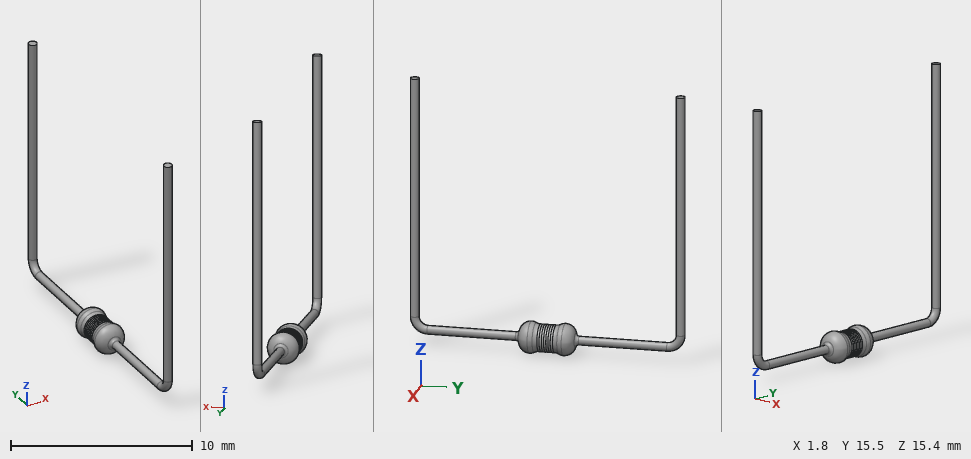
import cadquery as cq
import math


lead_span = 15.5
overall_height = 15.4
lead_diameter = 0.5
bend_radius = 0.75

body_diameter = 1.8
neck_diameter = 1.53
crest_offset = 0.96
dome_radius = 0.64
shoulder_radius = 0.55
neck_fillet_radius = 0.5
lead_fillet_radius = 0.2

band_diameter = 1.55
band_width = 0.125
band_count = 4

lead_radius = lead_diameter / 2
body_radius = body_diameter / 2
neck_radius = neck_diameter / 2
lead_offset = lead_span / 2 - lead_radius
lead_top = overall_height - body_radius


def point_on_circle(center, radius, angle):
    return (center[0] + radius * math.cos(angle), center[1] + radius * math.sin(angle))


def blend_points(bulge_radius, fillet_radius, cylinder_radius, side):
    """Points (radius, y) of the bulge arc and of the fillet that runs out on a cylinder.

    Side is +1 toward the lead and -1 toward the neck. Returns bulge middle,
    tangent point, fillet middle and fillet end.
    """
    bulge_center = (body_radius - bulge_radius, crest_offset)
    fillet_center_radius = cylinder_radius + fillet_radius
    rise = fillet_center_radius - bulge_center[0]
    angle = side * math.acos(rise / (bulge_radius + fillet_radius))
    fillet_center = point_on_circle(bulge_center, bulge_radius + fillet_radius, angle)
    bulge_middle = point_on_circle(bulge_center, bulge_radius, angle / 2)
    tangent_point = point_on_circle(bulge_center, bulge_radius, angle)
    fillet_middle = point_on_circle(fillet_center, fillet_radius, math.pi + angle / 2)
    fillet_end = (cylinder_radius, fillet_center[1])
    return bulge_middle, tangent_point, fillet_middle, fillet_end


def make_bulge():
    """The +Y end of the body, from the end of the neck to the lead, and its end on the neck."""
    shoulder_middle, shoulder_end, neck_middle, neck_end = blend_points(
        shoulder_radius, neck_fillet_radius, neck_radius, -1
    )
    dome_middle, dome_end, tip_middle, tip_end = blend_points(
        dome_radius, lead_fillet_radius, lead_radius, 1
    )
    bulge = (
        cq.Workplane("XY")
        .moveTo(0, neck_end[1])
        .lineTo(*neck_end)
        .threePointArc(neck_middle, shoulder_end)
        .threePointArc(shoulder_middle, (body_radius, crest_offset))
        .threePointArc(dome_middle, dome_end)
        .threePointArc(tip_middle, tip_end)
        .lineTo(0, tip_end[1])
        .close()
        .revolve(360, (0, 0, 0), (0, 1, 0))
    )
    return bulge, neck_end[1]


def make_cylinder(diameter, length, center_y):
    """A cylinder along Y."""
    return (
        cq.Workplane("XZ", origin=(0, center_y + length / 2, 0))
        .circle(diameter / 2)
        .extrude(length)
    )


def make_lead():
    """The +Y lead, swept from inside the bulge to its upright end."""
    bend_start = lead_offset - bend_radius
    bend_middle = point_on_circle((bend_start, bend_radius), bend_radius, -math.pi / 4)
    path = (
        cq.Workplane("YZ")
        .moveTo(crest_offset, 0)
        .lineTo(bend_start, 0)
        .threePointArc(bend_middle, (lead_offset, bend_radius))
        .lineTo(lead_offset, lead_top)
    )
    return cq.Workplane("XZ", origin=(0, crest_offset, 0)).circle(lead_radius).sweep(path)


bulge, neck_half_length = make_bulge()
lead_end = bulge.union(make_lead())
result = make_cylinder(neck_diameter, 2 * neck_half_length, 0)
for band_index in range(band_count):
    band_y = (band_index - (band_count - 1) / 2) * 2 * band_width
    result = result.union(make_cylinder(band_diameter, band_width, band_y))
result = result.union(lead_end).union(lead_end.mirror("XZ"))